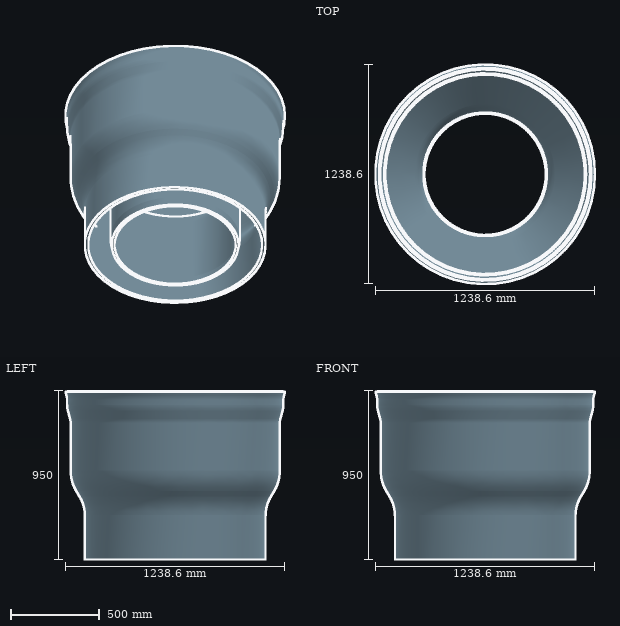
import cadquery as cq
import math

total_height = 950.0
shell_wall = 20.0
spigot_radius = 1020.0 / 2
barrel_radius = 1180.0 / 2
socket_radius = 1220.0 / 2
mouth_bore_radius = 1200.0 / 2
shoulder_angle = 31.0
socket_angle = 15.0
shoulder_start = 250.0
belling_start = 770.0
flare_start = 900.0
shoulder_bend_radius = 200.0
socket_bend_radius = 80.0
belling_bend_radius = 120.0

tube_bore_radius = 698.0 / 2
tube_outer_radius = 730.0 / 2
liner_wall = tube_outer_radius - tube_bore_radius
liner_rim_height = 648.0
funnel_angle = 34.0
tube_end_taper = 10.0
tube_end_length = 45.0
funnel_bend_radius = 100.0


def bend_point(start, radius, angle):
    """End of a bend that leaves the axis direction at start and tilts outwards by angle."""
    tilt = math.radians(angle)
    return (start[0] + radius * (1 - math.cos(tilt)), start[1] + radius * math.sin(tilt))


def add_widening(wire, start, end_radius, angle, out_radius, back_radius):
    """Bend outwards, run along a cone, then bend back upright at end_radius."""
    tilt = math.radians(angle)
    out_end = bend_point(start, out_radius, angle)
    back_rise = back_radius * math.sin(tilt)
    cone_end_radius = end_radius - back_radius * (1 - math.cos(tilt))
    cone_end = (cone_end_radius, out_end[1] + (cone_end_radius - out_end[0]) / math.tan(tilt))
    half = math.radians(angle / 2)
    back_mid = (
        end_radius - back_radius * (1 - math.cos(half)),
        cone_end[1] + back_rise - back_radius * math.sin(half),
    )
    return (
        wire.threePointArc(bend_point(start, out_radius, angle / 2), out_end)
        .lineTo(*cone_end)
        .threePointArc(back_mid, (end_radius, cone_end[1] + back_rise))
    )


def shell_solid(offset):
    """Solid of revolution bounded by the outer surface of the shell moved inwards by offset."""
    tilt = math.radians(socket_angle)
    rim_radius = mouth_bore_radius + (shell_wall - offset) * math.cos(tilt)
    rim_height = total_height - (shell_wall - offset) * math.sin(tilt)
    flare_foot = (socket_radius - offset, flare_start)
    flare_bend = socket_bend_radius + offset
    wire = cq.Workplane("XZ").lineTo(spigot_radius - offset, 0)
    wire = wire.lineTo(spigot_radius - offset, shoulder_start)
    wire = add_widening(
        wire,
        (spigot_radius - offset, shoulder_start),
        barrel_radius - offset,
        shoulder_angle,
        shoulder_bend_radius + offset,
        shoulder_bend_radius + shell_wall - offset,
    )
    wire = wire.lineTo(barrel_radius - offset, belling_start)
    wire = add_widening(
        wire,
        (barrel_radius - offset, belling_start),
        socket_radius - offset,
        socket_angle,
        socket_bend_radius + offset,
        belling_bend_radius - offset,
    )
    wire = wire.lineTo(*flare_foot)
    wire = wire.threePointArc(
        bend_point(flare_foot, flare_bend, socket_angle / 2),
        bend_point(flare_foot, flare_bend, socket_angle),
    )
    wire = wire.lineTo(rim_radius, rim_height)
    if offset < shell_wall:
        wire = wire.lineTo(mouth_bore_radius, total_height)
    return wire.lineTo(0, total_height).close().revolve(360, (0, 0), (0, 1))


def liner_solid():
    """Constant-wall funnel and tube, with the funnel's end cut square to its slope."""
    slope = math.radians(funnel_angle)
    rim_inset = liner_wall * math.sin(slope)
    rim_drop = liner_wall * math.cos(slope)
    lower_rim = (barrel_radius - shell_wall, liner_rim_height - rim_drop)
    upper_rim = (lower_rim[0] - rim_inset, liner_rim_height)

    centre_radius = tube_bore_radius + funnel_bend_radius
    bend_foot_radius = centre_radius - funnel_bend_radius * math.sin(slope)
    bend_foot_height = upper_rim[1] - (upper_rim[0] - bend_foot_radius) * math.tan(slope)
    centre_height = bend_foot_height - funnel_bend_radius * math.cos(slope)

    def on_bend(radius, angle):
        """Point of a bend, with the angle measured upwards from the horizontal."""
        return (centre_radius - radius * math.cos(angle), centre_height + radius * math.sin(angle))

    end_inset = tube_end_length * math.tan(math.radians(tube_end_taper))
    bend_end_angle = math.pi / 2 - slope
    bend_mid_angle = bend_end_angle / 2
    under_bend_radius = funnel_bend_radius - liner_wall
    return (
        cq.Workplane("XZ")
        .moveTo(tube_bore_radius - end_inset, 0)
        .lineTo(tube_bore_radius, tube_end_length)
        .lineTo(*on_bend(funnel_bend_radius, 0))
        .threePointArc(
            on_bend(funnel_bend_radius, bend_mid_angle),
            on_bend(funnel_bend_radius, bend_end_angle),
        )
        .lineTo(*upper_rim)
        .lineTo(*lower_rim)
        .lineTo(*on_bend(under_bend_radius, bend_end_angle))
        .threePointArc(
            on_bend(under_bend_radius, bend_mid_angle),
            on_bend(under_bend_radius, 0),
        )
        .lineTo(tube_outer_radius, tube_end_length)
        .lineTo(tube_outer_radius - end_inset, 0)
        .close()
        .revolve(360, (0, 0), (0, 1))
    )


shell = shell_solid(0).cut(shell_solid(shell_wall))
liner = liner_solid()
result = cq.Compound.makeCompound([shell.val(), liner.val()])